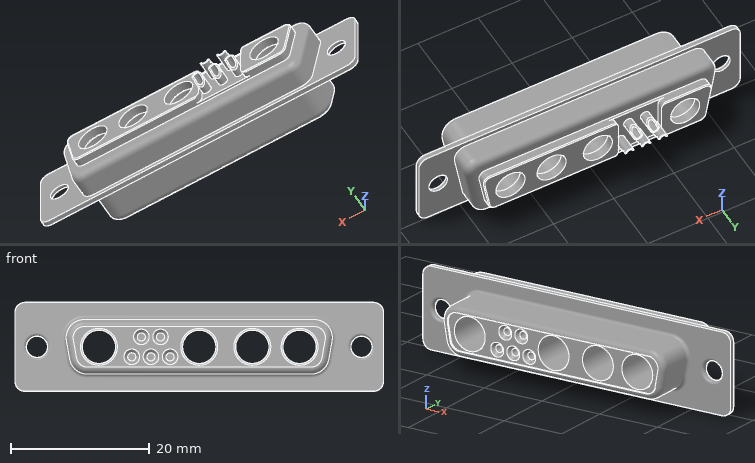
import cadquery as cq
import math


FLANGE_LENGTH = 53.4
FLANGE_HEIGHT = 12.95
FLANGE_THICKNESS = 0.8
FLANGE_CORNER_RADIUS = 1.5
MOUNT_HOLE_X = 23.5
MOUNT_HOLE_DIAMETER = 3.05
MOUNT_HOLE_ROUNDING = 0.5

SIDE_ANGLE = math.radians(10)
FRONT_WIDTH, FRONT_HEIGHT, FRONT_CORNER = 38.55, 7.9, 2.6
REAR_WIDTH, REAR_HEIGHT, REAR_CORNER = 41.65, 11.3, 1.9
INSERT_WIDTH, INSERT_HEIGHT, INSERT_CORNER = 37.95, 7.2, 1.1

FRONT_LENGTH = 6.35
REAR_SHELL_LENGTH = 3.95
INSERT_PROTRUSION = 1.45
PIN_PROTRUSION = 1.9

FRONT_Y = -FRONT_LENGTH
REAR_SHELL_Y = FLANGE_THICKNESS + REAR_SHELL_LENGTH
INSERT_REAR_Y = REAR_SHELL_Y + INSERT_PROTRUSION
PIN_END_Y = INSERT_REAR_Y + PIN_PROTRUSION

FRONT_ROUNDING = 1.0
BASE_FILLET = 0.6
REAR_ROUNDING = 1.25
INSERT_CHAMFER = 0.15
SEAM_MARGIN = 0.05

FACE_RECESS = 0.25
FACE_Y = FRONT_Y + FACE_RECESS

POWER_XS = (-14.55, 0.0, 7.7, 14.55)
POWER_DIAMETER = 5.35
POWER_REAR_DIAMETER = 4.8

SIGNAL_CENTER_X = -7.0
SIGNAL_PITCH = 2.8
SIGNAL_ROW_Z = 1.45
SIGNAL_ENTRY_DIAMETER = 2.25
SIGNAL_BORE_DIAMETER = 1.2
SIGNAL_ENTRY_DEPTH = 0.55
SIGNAL_BORE_DEPTH = 4.3
SIGNAL_POSITIONS = [
    (SIGNAL_CENTER_X + column * SIGNAL_PITCH, z)
    for columns, z in (((-0.5, 0.5), SIGNAL_ROW_Z), ((-1, 0, 1), -SIGNAL_ROW_Z))
    for column in columns
]

CUP_DIAMETER = 1.5
CUP_BORE_DIAMETER = 1.0
CUP_BORE_DEPTH = 2.15
CUP_FLAT_LENGTH = 0.65
CUP_FLAT_INSET = 0.1
CUP_CUT_LENGTH = 1.7
NOTCH_WIDTH = 7.15
NOTCH_DEPTH = 1.0
NOTCH_ROUNDING = 0.9
NOTCH_FLOOR_Y = INSERT_REAR_Y - NOTCH_DEPTH


def plane_at(y):
    """Workplane facing -Y with local X, Y along the part's X, Z."""
    return cq.Workplane("XZ", origin=(0, y, 0))


def d_block(width, height, corner, y_rear, y_front):
    """D-shaped prism, wider at the top, with rounded corners."""
    center_x = width / 2 - corner
    center_z = height / 2 - corner

    def side_x(z):
        return center_x + (corner + (z - center_z) * math.sin(SIDE_ANGLE)) / math.cos(SIDE_ANGLE)

    top = height / 2
    outline = [
        (-side_x(top), top),
        (side_x(top), top),
        (side_x(-top), -top),
        (-side_x(-top), -top),
    ]
    block = plane_at(y_rear).polyline(outline).close().extrude(y_rear - y_front)
    return block.edges("|Y").fillet(corner)


def cylinder(x, z, diameter, y_rear, y_front):
    """Round bar along Y."""
    return plane_at(y_rear).center(x, z).circle(diameter / 2).extrude(y_rear - y_front)


def make_shell():
    """Flange with the D-shaped front and rear bodies."""
    flange = plane_at(FLANGE_THICKNESS).rect(FLANGE_LENGTH, FLANGE_HEIGHT).extrude(FLANGE_THICKNESS)
    flange = flange.edges("|Y").fillet(FLANGE_CORNER_RADIUS)

    front = d_block(FRONT_WIDTH, FRONT_HEIGHT, FRONT_CORNER, 0, FRONT_Y)
    shell = flange.union(front)
    base_seam = cq.selectors.BoxSelector(
        (-FRONT_WIDTH / 2, -SEAM_MARGIN, -FRONT_HEIGHT / 2 - SEAM_MARGIN),
        (FRONT_WIDTH / 2, SEAM_MARGIN, FRONT_HEIGHT / 2 + SEAM_MARGIN),
    )
    shell = shell.edges(base_seam).fillet(BASE_FILLET)
    shell = shell.faces("<Y").edges().fillet(FRONT_ROUNDING)

    rear = d_block(REAR_WIDTH, REAR_HEIGHT, REAR_CORNER, REAR_SHELL_Y, FLANGE_THICKNESS)
    rear = rear.faces(">Y").edges().fillet(REAR_ROUNDING)
    return shell.union(rear)


def make_face_recess():
    """Shallow D-shaped recess that meets the inner end of the front rounding."""
    return d_block(
        FRONT_WIDTH - 2 * FRONT_ROUNDING,
        FRONT_HEIGHT - 2 * FRONT_ROUNDING,
        FRONT_CORNER - FRONT_ROUNDING,
        FACE_Y,
        FRONT_Y,
    )


def make_mount_hole(x):
    """Flange hole whose front edge is rounded."""
    radius = MOUNT_HOLE_DIAMETER / 2
    mouth_radius = radius + MOUNT_HOLE_ROUNDING
    arc_offset = MOUNT_HOLE_ROUNDING * (1 - math.sqrt(0.5))
    profile = (
        cq.Workplane("XY")
        .lineTo(mouth_radius, 0)
        .threePointArc((radius + arc_offset, arc_offset), (radius, MOUNT_HOLE_ROUNDING))
        .lineTo(radius, FLANGE_THICKNESS)
        .lineTo(0, FLANGE_THICKNESS)
        .close()
    )
    return profile.revolve(360, (0, 0, 0), (0, 1, 0)).translate((x, 0, 0))


def make_insert():
    """Insulator standing out of the rear shell, notched around the solder cups."""
    insert = d_block(INSERT_WIDTH, INSERT_HEIGHT, INSERT_CORNER, INSERT_REAR_Y, REAR_SHELL_Y)
    insert = insert.faces(">Y").edges().chamfer(INSERT_CHAMFER)

    half_width = NOTCH_WIDTH / 2
    notch = (
        plane_at(INSERT_REAR_Y)
        .center(SIGNAL_CENTER_X, 0)
        .rect(NOTCH_WIDTH, INSERT_HEIGHT)
        .extrude(NOTCH_DEPTH)
    )
    for side in (-1, 1):
        for level in (-1, 1):
            x = SIGNAL_CENTER_X + side * (half_width + NOTCH_ROUNDING)
            z = level * (INSERT_HEIGHT / 2 - NOTCH_ROUNDING)
            flare = (
                plane_at(INSERT_REAR_Y)
                .center(x - side * NOTCH_ROUNDING / 2, z + level * NOTCH_ROUNDING / 2)
                .rect(NOTCH_ROUNDING, NOTCH_ROUNDING)
                .extrude(NOTCH_DEPTH)
            )
            rounding = cylinder(x, z, 2 * NOTCH_ROUNDING, INSERT_REAR_Y, NOTCH_FLOOR_Y)
            notch = notch.union(flare.cut(rounding))
    return insert.cut(notch)


def make_power_bore(x):
    """Stepped bore through the whole connector."""
    wide = cylinder(x, 0, POWER_DIAMETER, REAR_SHELL_Y, FRONT_Y)
    narrow = cylinder(x, 0, POWER_REAR_DIAMETER, INSERT_REAR_Y, FRONT_Y)
    return wide.union(narrow)


def make_signal_socket(x, z):
    """Blind socket with a conical entry."""
    entry_radius = SIGNAL_ENTRY_DIAMETER / 2
    bore_radius = SIGNAL_BORE_DIAMETER / 2
    profile = [
        (0, 0),
        (entry_radius, 0),
        (bore_radius, SIGNAL_ENTRY_DEPTH),
        (bore_radius, SIGNAL_BORE_DEPTH),
        (0, SIGNAL_BORE_DEPTH),
    ]
    socket = cq.Workplane("XY").polyline(profile).close().revolve(360, (0, 0, 0), (0, 1, 0))
    return socket.translate((x, FACE_Y, z))


def make_solder_cup(x, z):
    """Hollow pin whose outer half is cut away toward its end."""
    outward = math.copysign(1, z)
    radius = CUP_DIAMETER / 2
    flat_z = z - outward * CUP_FLAT_INSET
    outer_z = z + outward * radius
    cup = cylinder(x, z, CUP_DIAMETER, PIN_END_Y, NOTCH_FLOOR_Y)
    bore = cylinder(x, z, CUP_BORE_DIAMETER, PIN_END_Y, PIN_END_Y - CUP_BORE_DEPTH)
    cut_outline = [
        (PIN_END_Y, flat_z),
        (PIN_END_Y - CUP_FLAT_LENGTH, flat_z),
        (PIN_END_Y - CUP_CUT_LENGTH, outer_z),
        (PIN_END_Y, outer_z),
    ]
    cut = cq.Workplane("YZ", origin=(x, 0, 0)).polyline(cut_outline).close().extrude(radius, both=True)
    return cup.cut(bore).cut(cut)


result = make_shell().cut(make_face_recess()).union(make_insert())
for hole_x in (-MOUNT_HOLE_X, MOUNT_HOLE_X):
    result = result.cut(make_mount_hole(hole_x))
for power_x in POWER_XS:
    result = result.cut(make_power_bore(power_x))
for signal_x, signal_z in SIGNAL_POSITIONS:
    result = result.cut(make_signal_socket(signal_x, signal_z))
    result = result.union(make_solder_cup(signal_x, signal_z))